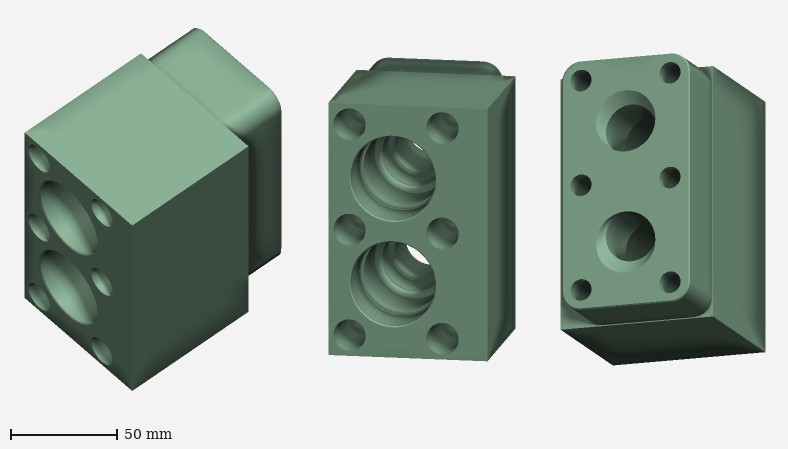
import cadquery as cq

block_width = 76.1
block_depth = 73.1
block_height = 121.5

boss_width = 63.8
boss_height = 120.5
boss_length = 31.7
boss_side_inset = 0.5
boss_corner_radius = 9.5
boss_end_chamfer = 0.6

bolt_first_x = 10.2
bolt_column_pitch = 44.5
bolt_row_pitch = 50.8
bolt_diameter = 10.5
bolt_counterbore_diameter = 15.3
bolt_counterbore_depth = 36.4

port_x = 30.8
port_mouth_radius = 20.8
port_mouth_chamfer = 0.5
socket_depth = 24.3
socket_floor_chamfer = 0.5
bore_radius = 18.7
bore_depth = 54.6
upper_cone_end_radius = 17.2
upper_cone_length = 1.5
lower_cone_end_radius = 16.0
lower_cone_length = 1.3
throat_radius = 15.5
port_floor_depth = block_depth

passage_radius = 12.6
flare_length = 3.6
opening_radius = 14.8
opening_pitch = 58.8

middle_z = block_height / 2
total_depth = block_depth + boss_length
boss_center_x = boss_side_inset + boss_width / 2


def facing_back(x, y, z):
    """Workplane at (x, y, z) with its normal along +Y and its local x along -X."""
    return cq.Workplane(cq.Plane(origin=(x, y, z), xDir=(-1, 0, 0), normal=(0, 1, 0)))


def make_body():
    block = cq.Workplane("XY").box(block_width, block_depth, block_height, centered=False)
    boss = (
        facing_back(boss_center_x, block_depth, middle_z)
        .rect(boss_width, boss_height)
        .extrude(boss_length)
        .edges("|Y")
        .fillet(boss_corner_radius)
        .faces(">Y")
        .chamfer(boss_end_chamfer)
    )
    return block.union(boss)


def make_bolt_hole(x, z):
    shank = facing_back(x, 0, z).circle(bolt_diameter / 2).extrude(total_depth)
    counterbore = facing_back(x, 0, z).circle(bolt_counterbore_diameter / 2).extrude(bolt_counterbore_depth)
    return shank.union(counterbore)


def make_port(z):
    """Stepped port turned about an axis along Y: chamfered socket, bore, two cones and a throat."""
    socket_radius = port_mouth_radius - port_mouth_chamfer
    upper_cone_end = bore_depth + upper_cone_length
    lower_cone_end = upper_cone_end + lower_cone_length
    half_profile = [
        (0, 0),
        (port_mouth_radius, 0),
        (socket_radius, port_mouth_chamfer),
        (socket_radius, socket_depth - socket_floor_chamfer),
        (socket_radius - socket_floor_chamfer, socket_depth),
        (bore_radius, socket_depth),
        (bore_radius, bore_depth),
        (upper_cone_end_radius, upper_cone_end),
        (lower_cone_end_radius, lower_cone_end),
        (throat_radius, lower_cone_end),
        (throat_radius, port_floor_depth),
        (0, port_floor_depth),
    ]
    port = cq.Workplane("XY").polyline(half_profile).close().revolve(360, (0, 0), (0, 1))
    return port.translate((port_x, 0, z))


def make_passage(port_z, opening_z):
    """Straight passage from the port floor that flares into the offset opening at the back."""
    flare_start = total_depth - flare_length
    straight = (
        facing_back(port_x, port_floor_depth, port_z)
        .circle(passage_radius)
        .extrude(flare_start - port_floor_depth)
    )
    flare = (
        facing_back(port_x, flare_start, port_z)
        .circle(passage_radius)
        .workplane(offset=flare_length)
        .center(port_x - boss_center_x, opening_z - port_z)
        .circle(opening_radius)
        .loft(ruled=True)
    )
    return straight.union(flare)


result = make_body()

for column in range(2):
    for row in (-1, 0, 1):
        bolt_x = bolt_first_x + column * bolt_column_pitch
        bolt_z = middle_z + row * bolt_row_pitch
        result = result.cut(make_bolt_hole(bolt_x, bolt_z))

for side in (-1, 1):
    port_z = middle_z + side * bolt_row_pitch / 2
    opening_z = middle_z + side * opening_pitch / 2
    result = result.cut(make_port(port_z))
    result = result.cut(make_passage(port_z, opening_z))